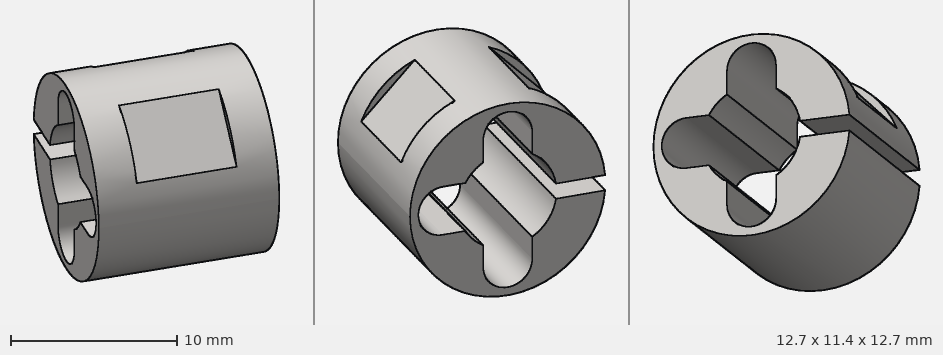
import cadquery as cq

outer_diameter = 12.7
bore_diameter = 6.35
length = 11.4

keyway_width = 3.18
keyway_reach = 5.8
keyway_angles = (0, 90, 270)

slit_width = 1.0

flat_length = 6.3
flat_distance = 5.85
flat_angles = (45, 135)

outer_radius = outer_diameter / 2


def turned(shape, angle):
    """Turn a shape about the Y axis, from +X towards +Z."""
    return shape.rotate((0, 0, 0), (0, 1, 0), -angle)


def make_sleeve():
    front_end = cq.Workplane("XZ", origin=(0, -length / 2, 0))
    return front_end.circle(outer_radius).circle(bore_diameter / 2).extrude(-length)


def make_keyway():
    """Channel along +X from the axis to a rounded tip."""
    tip_center = keyway_reach - keyway_width / 2
    channel = cq.Workplane().box(tip_center, length, keyway_width, centered=(False, True, True))
    front_end = cq.Workplane("XZ", origin=(tip_center, -length / 2, 0))
    tip = front_end.circle(keyway_width / 2).extrude(-length)
    return channel.union(tip)


def make_slit():
    slit = cq.Workplane().box(outer_radius, length, slit_width, centered=(False, True, True))
    return turned(slit, 180)


def make_flat_cutter():
    """Block that leaves a flat facing +X."""
    cutter = cq.Workplane().box(outer_radius, flat_length, outer_diameter, centered=(False, True, True))
    return cutter.translate((flat_distance, 0, 0))


result = make_sleeve().cut(make_slit())
for angle in keyway_angles:
    result = result.cut(turned(make_keyway(), angle))
for angle in flat_angles:
    result = result.cut(turned(make_flat_cutter(), angle))